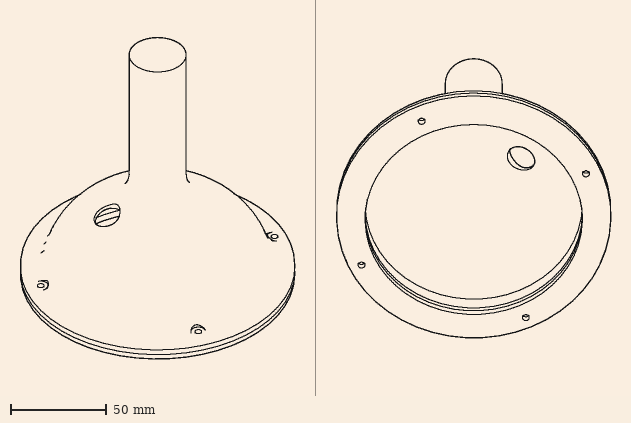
import cadquery as cq
import math

total_height = 147.0
rim_radius = 72.0
plate_thickness = 4.0
gap = 3.1
edge_round = 2.0
bore_radius = 57.0
stem_radius = 15.0
stem_base_z = 68.5
neck_foot_radius = 29.3
neck_foot_z = 47.9
dome_foot_radius = 59.7
dome_foot_z = 15.0
wall = 2.0
screw_hole_diameter = 3.5
screw_seat_diameter = 8.0
screw_circle_radius = 65.0
screw_count = 4
port_diameter = 15.0
port_radius = 28.0
port_offset_x = 0.5
port_tool_depth = 8.8

flange_z = plate_thickness + gap
flange_top_z = flange_z + plate_thickness

neck_width = neck_foot_radius - stem_radius
neck_height = stem_base_z - neck_foot_z
neck_arc_radius = (neck_width**2 + neck_height**2) / (2 * neck_width)
neck_center = (stem_radius + neck_arc_radius, stem_base_z)

normal_r = (neck_center[0] - neck_foot_radius) / neck_arc_radius
normal_z = (neck_center[1] - neck_foot_z) / neck_arc_radius

dome_width = dome_foot_radius - neck_foot_radius
dome_drop = neck_foot_z - dome_foot_z
dome_arc_radius = (dome_width**2 + dome_drop**2) / (2 * (dome_drop * normal_z - dome_width * normal_r))
dome_center = (
    neck_foot_radius - dome_arc_radius * normal_r,
    neck_foot_z - dome_arc_radius * normal_z,
)

neck_angle = math.atan2(normal_z, normal_r)
dome_foot_angle = math.atan2(dome_foot_z - dome_center[1], dome_foot_radius - dome_center[0])
fillet_radius = (dome_foot_z - flange_top_z) / (1 - math.sin(dome_foot_angle))
fillet_center = (
    dome_foot_radius + fillet_radius * math.cos(dome_foot_angle),
    flange_top_z + fillet_radius,
)


def polar(center, radius, angle):
    """Point at the given radius and angle around a centre."""
    return (center[0] + radius * math.cos(angle), center[1] + radius * math.sin(angle))


def screw_cylinders(diameter, bottom_z, top_z):
    """Vertical cutters on the screw circle."""
    return (
        cq.Workplane("XY", origin=(0, 0, bottom_z))
        .polarArray(screw_circle_radius, 0, 360, screw_count)
        .circle(diameter / 2)
        .extrude(top_z - bottom_z)
    )


def port_cutter():
    """Cylinder for the cable port, square to the shell at the neck-dome join."""
    axis = cq.Vector(0, -normal_r, normal_z)
    center = cq.Vector(port_offset_x, -port_radius, neck_foot_z)
    start = center - axis * port_tool_depth
    return cq.Workplane(cq.Solid.makeCylinder(port_diameter / 2, 2 * port_tool_depth, start, axis))


def make_outer_form():
    """Solid stem, neck, dome and flange before hollowing."""
    neck_mid_angle = math.pi + neck_angle / 2
    dome_mid_angle = (neck_angle + dome_foot_angle) / 2
    fillet_mid_angle = math.pi + (dome_foot_angle + math.pi / 2) / 2
    return (
        cq.Workplane("XZ")
        .moveTo(0, flange_z)
        .lineTo(0, total_height)
        .lineTo(stem_radius, total_height)
        .lineTo(stem_radius, stem_base_z)
        .threePointArc(polar(neck_center, neck_arc_radius, neck_mid_angle), (neck_foot_radius, neck_foot_z))
        .threePointArc(polar(dome_center, dome_arc_radius, dome_mid_angle), (dome_foot_radius, dome_foot_z))
        .threePointArc(
            polar(fillet_center, fillet_radius, fillet_mid_angle), (fillet_center[0], flange_top_z)
        )
        .lineTo(rim_radius - edge_round, flange_top_z)
        .radiusArc((rim_radius, flange_top_z - edge_round), edge_round)
        .lineTo(rim_radius, flange_z)
        .close()
        .revolve(360, (0, 0, 0), (0, 1, 0))
    )


def make_cavity():
    """Space under the dome: its arc runs parallel to the dome up to a flat crown below the solid neck."""
    inner_dome_radius = dome_arc_radius - wall
    side_angle = math.acos((bore_radius - dome_center[0]) / inner_dome_radius)
    crown_angle = math.pi / 2
    crown = polar(dome_center, inner_dome_radius, crown_angle)
    return (
        cq.Workplane("XZ")
        .moveTo(0, flange_z)
        .lineTo(bore_radius, flange_z)
        .lineTo(*polar(dome_center, inner_dome_radius, side_angle))
        .threePointArc(polar(dome_center, inner_dome_radius, (side_angle + crown_angle) / 2), crown)
        .lineTo(0, crown[1])
        .close()
        .revolve(360, (0, 0, 0), (0, 1, 0))
    )


def make_shell():
    """Bell-shaped housing with its stem, cable port and screw holes."""
    return (
        make_outer_form()
        .cut(make_cavity())
        .cut(port_cutter())
        .cut(screw_cylinders(screw_seat_diameter, flange_top_z, neck_foot_z))
        .cut(screw_cylinders(screw_hole_diameter, flange_z, flange_top_z))
    )


def make_base_ring():
    """Flat ring below the shell with a rounded lower outer edge."""
    return (
        cq.Workplane("XY")
        .circle(rim_radius)
        .extrude(plate_thickness)
        .faces("<Z")
        .edges()
        .fillet(edge_round)
        .cut(cq.Workplane("XY").circle(bore_radius).extrude(plate_thickness))
        .cut(screw_cylinders(screw_hole_diameter, 0, plate_thickness))
    )


shell = make_shell()
base_ring = make_base_ring()
result = cq.Compound.makeCompound([shell.val(), base_ring.val()])